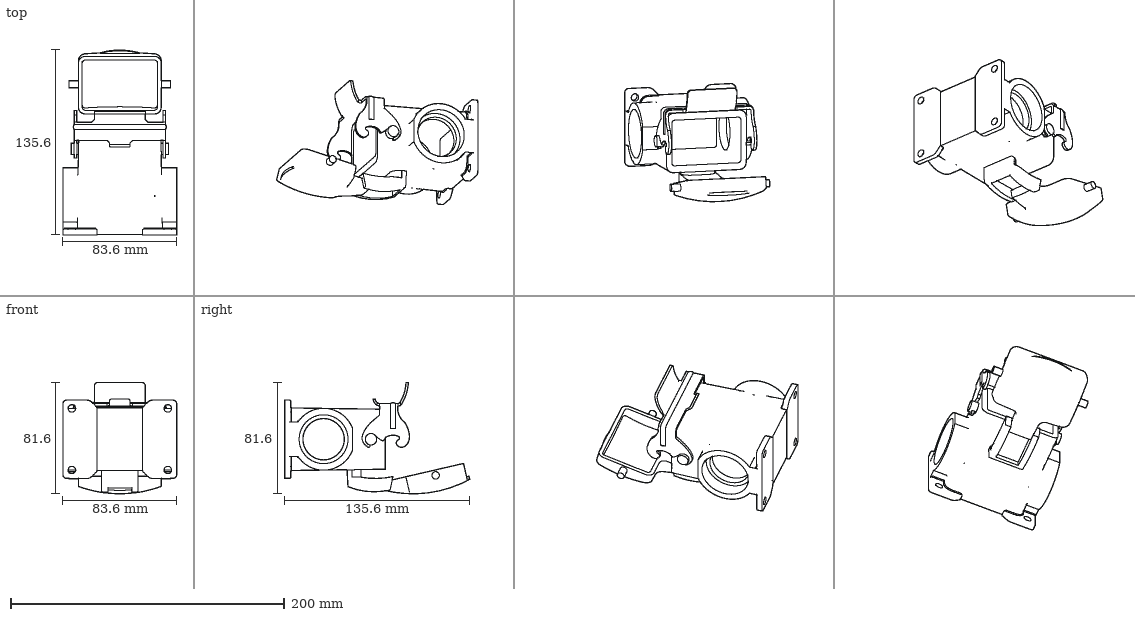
import cadquery as cq
import math


PLATE_OUTER_X = 41.8
PLATE_INNER_X = 16.5
PLATE_HALF_HEIGHT = 28.7
PLATE_THICKNESS = 4.5
PLATE_CORNER_RADIUS = 3.0
PLATE_NECK_DROP = 5.4
PLATE_NECK_RADIUS = 5.4
PLATE_EDGE_RADIUS = 1.1
SCREW_HOLE_RADIUS = 2.7
SCREW_HOLE_X = 35.1
SCREW_HOLE_Z = 22.5

SHELL_FRONT_Y = 0.5
SHELL_STRAIGHT_Y = 68.5
SHELL_BACK_Y = 73.6
CORNER_CENTRE_X = 25.1
CORNER_CENTRE_Z = 17.0
CORNER_RADIUS_FRONT = 6.1
CORNER_RADIUS_BACK = 5.2
CAVITY_HALF_WIDTH = 26.2
CAVITY_FRONT_Y = 6.8
CAVITY_CORNER_RADIUS = 2.0

ENTRY_Y = 28.5
ENTRY_RADIUS = 22.6
ENTRY_FLAT_Y = 49.5
ENTRY_WEB_HALF_HEIGHT = 12.6
ENTRY_BORE_RADIUS = 15.0
ENTRY_THREAD_RADIUS = 17.9
ENTRY_SHOULDER_X = 31.7
ENTRY_ROOT_RADIUS = 0.8

FOOT_BEVEL = 0.7

PEG_Y = 63.2
PEG_RADIUS = 4.2
PEG_END_X = 35.7

BRACKET_HALF_WIDTH = 13.4
BRACKET_EDGE_RADIUS = 0.7
BRACKET_TOE_Y = 46.2
BRACKET_TOE_Z = -34.7
POST_HALF_WIDTH = 12.6
POST_FRONT_Y = 49.4
POST_DEPTH = 6.6
TONGUE_HALF_WIDTH = 8.8
POCKET_FRONT_Y = 49.1
POCKET_DEPTH_Z = 40.7

RIM_TILT = 13.0
RIM_END_Y = 131.0
RIM_END_Z = -17.6
COVER_LENGTH = 43.4
COVER_HALF_WIDTH = 30.4
COVER_CORNER_RADIUS = 5.2
COVER_WALL = 2.8
COVER_POCKET_CORNER_RADIUS = 2.3
COVER_DEPTH = 15.7
COVER_DOME_RADIUS = 86.8
COVER_FLOOR_THICKNESS = 2.0
COVER_EDGE_RADIUS = 0.5
TONGUE_END = 61.0
TONGUE_ROOT_RADIUS = 4.9
LIP_HALF_WIDTH = 14.2
LIP_REACH = 1.9
LIP_TOP_DEPTH = 10.0
COVER_PIN_Y = 110.5
COVER_PIN_Z = -26.5
COVER_PIN_RADIUS = 2.7
COVER_PIN_END_X = 37.3

SHEET = 2.0
LEVER_OUTER_X = 33.5
LEVER_TOP_Z = 26.2
LEVER_FRONT_Y = 69.4
LEVER_BACK_Y = 82.9
LEVER_BEND_RADIUS = 3.4
BEAD_HEIGHT = 0.61
BEAD_FRONT_Y = 77.3
BEAD_WIDTH = 4.0
BEAD_END_Z = 8.0
HANDLE_HALF_WIDTH = 18.7
HANDLE_TOP_Z = 41.6
HANDLE_TIP_Y = 90.6
HANDLE_CORNER_RADIUS = 2.7
TAB_HALF_WIDTH = 7.6
TAB_TOP_Z = 29.4
TAB_TIP_Y = 64.7
TAB_CORNER_RADIUS = 1.6
ROOT_FLARE = 1.8

SIDES = (-1, 1)


def bar_along_x(y, z, radius, start_x, end_x):
    """Round bar whose axis is parallel to X."""
    return cq.Workplane("YZ", origin=(start_x, y, z)).circle(radius).extrude(end_x - start_x)


def box_between(x_range, y_range, z_range):
    """Box given by its lower and upper limit along each axis."""
    sizes = [high - low for low, high in (x_range, y_range, z_range)]
    corner = (x_range[0], y_range[0], z_range[0])
    return cq.Workplane("XY").box(*sizes, centered=False).translate(corner)


def side_profile(half_width):
    """Workplane for a Y-Z outline that is to be extruded over 2 * half_width, centred on X = 0."""
    return cq.Workplane("YZ", origin=(-half_width, 0, 0))


def rounded_section(corner_radius):
    """Shell cross-section; its corner centres stay put while the radius changes."""
    return (
        cq.Sketch()
        .rect(2 * (CORNER_CENTRE_X + corner_radius), 2 * (CORNER_CENTRE_Z + corner_radius))
        .vertices()
        .fillet(corner_radius)
    )


def make_shell():
    drafted_length = SHELL_STRAIGHT_Y - SHELL_FRONT_Y
    front = rounded_section(CORNER_RADIUS_FRONT)
    back = rounded_section(CORNER_RADIUS_BACK)
    back_offset = cq.Location(cq.Vector(0, 0, -drafted_length))
    drafted = (
        cq.Workplane("XZ", origin=(0, SHELL_FRONT_Y, 0))
        .placeSketch(front, back.moved(back_offset))
        .loft()
    )
    straight = (
        cq.Workplane("XZ", origin=(0, SHELL_STRAIGHT_Y, 0))
        .placeSketch(back)
        .extrude(SHELL_STRAIGHT_Y - SHELL_BACK_Y)
    )
    return drafted.union(straight)


def make_plate(side):
    """Mounting plate whose inner end narrows at 45 degrees to the height of the shell."""
    neck_z = PLATE_HALF_HEIGHT - PLATE_NECK_DROP
    neck_x = PLATE_INNER_X + PLATE_NECK_DROP
    corners = [
        (PLATE_OUTER_X, PLATE_HALF_HEIGHT),
        (neck_x, PLATE_HALF_HEIGHT),
        (PLATE_INNER_X, neck_z),
        (PLATE_INNER_X, -neck_z),
        (neck_x, -PLATE_HALF_HEIGHT),
        (PLATE_OUTER_X, -PLATE_HALF_HEIGHT),
    ]
    plate = cq.Workplane("XZ").polyline(corners).close().extrude(-PLATE_THICKNESS)
    middle_y = PLATE_THICKNESS / 2
    for z in (-PLATE_HALF_HEIGHT, PLATE_HALF_HEIGHT):
        outer_edge = cq.selectors.NearestToPointSelector((PLATE_OUTER_X, middle_y, z))
        plate = plate.edges(outer_edge).fillet(PLATE_CORNER_RADIUS)
        neck_edge = cq.selectors.NearestToPointSelector((neck_x, middle_y, z))
        plate = plate.edges(neck_edge).fillet(PLATE_NECK_RADIUS)
    plate = plate.faces(">Y").edges().fillet(PLATE_EDGE_RADIUS)
    screw_holes = (
        cq.Workplane("XZ")
        .pushPoints([(SCREW_HOLE_X, SCREW_HOLE_Z), (SCREW_HOLE_X, -SCREW_HOLE_Z)])
        .circle(SCREW_HOLE_RADIUS)
        .extrude(-PLATE_THICKNESS)
    )
    plate = plate.cut(screw_holes)
    return plate if side > 0 else plate.mirror("YZ")


def make_entry(side):
    """Round cable entry with a flat towards the back and a web down to the plate."""
    root_x = side * CORNER_CENTRE_X
    face_x = side * PLATE_OUTER_X
    x_range = sorted((root_x, face_x))
    boss = bar_along_x(ENTRY_Y, 0, ENTRY_RADIUS, root_x, face_x)
    kept = box_between(x_range, (0, ENTRY_FLAT_Y), (-ENTRY_RADIUS, ENTRY_RADIUS))
    web = box_between(x_range, (0, ENTRY_Y), (-ENTRY_WEB_HALF_HEIGHT, ENTRY_WEB_HALF_HEIGHT))
    return boss.intersect(kept).union(web)


def make_bracket():
    """Hook-shaped bracket below the shell with a post behind its front wall."""
    shell_z = -CORNER_CENTRE_Z - CORNER_RADIUS_BACK
    ledge_z = -27.8
    hook = (
        side_profile(BRACKET_HALF_WIDTH)
        .moveTo(45.5, shell_z)
        .lineTo(BRACKET_TOE_Y, BRACKET_TOE_Z)
        .threePointArc((63.7, -38.5), (77.2, -37.2))
        .lineTo(79.3, -27.3)
        .threePointArc((67.8, -28.6), (56.3, ledge_z))
        .lineTo(POST_FRONT_Y, ledge_z)
        .lineTo(POST_FRONT_Y, shell_z)
        .close()
        .extrude(2 * BRACKET_HALF_WIDTH)
    )
    front_corner = cq.selectors.NearestToPointSelector((0, BRACKET_TOE_Y, BRACKET_TOE_Z))
    side_edges = hook.faces("<Y or <Z").edges("not |X")
    hook = side_edges.add(hook.edges(front_corner)).fillet(BRACKET_EDGE_RADIUS)
    post = box_between(
        (-POST_HALF_WIDTH, POST_HALF_WIDTH),
        (POST_FRONT_Y, POST_FRONT_Y + POST_DEPTH),
        (ledge_z - SHEET / 2, shell_z),
    )
    post = post.edges("|Z and >Y").fillet(POST_DEPTH - 0.1)
    pocket = (
        side_profile(TONGUE_HALF_WIDTH)
        .moveTo(POCKET_FRONT_Y, -30.6)
        .lineTo(81.4, -29.4)
        .lineTo(81.4, -POCKET_DEPTH_Z)
        .lineTo(POCKET_FRONT_Y, -POCKET_DEPTH_Z)
        .close()
        .extrude(2 * TONGUE_HALF_WIDTH)
    )
    return hook.union(post).cut(pocket)


def round_entry_roots(housing, side):
    """Round the concave seams where one entry, with its flat and web, leaves the shell wall."""
    wall_x = side * (CORNER_CENTRE_X + CORNER_RADIUS_FRONT)
    web_middle_y = 6.8
    arc_middle = (11.5, 14.9)
    seam_points = [(wall_x, ENTRY_FLAT_Y, 0)]
    for half in SIDES:
        seam_points.append((wall_x, web_middle_y, half * ENTRY_WEB_HALF_HEIGHT))
        seam_points.append((wall_x, arc_middle[0], half * arc_middle[1]))
    seams = []
    for point in seam_points:
        seams += housing.edges(cq.selectors.NearestToPointSelector(point)).vals()
    return housing.newObject(seams).fillet(ENTRY_ROOT_RADIUS)


def make_shell_foot(side):
    """Bevelled collar around the shell on one plate."""
    wide = rounded_section(CORNER_RADIUS_FRONT + FOOT_BEVEL)
    narrow = rounded_section(CORNER_RADIUS_FRONT)
    collar = (
        cq.Workplane("XZ", origin=(0, PLATE_THICKNESS, 0))
        .placeSketch(wide, narrow.moved(cq.Location(cq.Vector(0, 0, -FOOT_BEVEL))))
        .loft()
    )
    plate_x = sorted((side * (PLATE_INNER_X + PLATE_EDGE_RADIUS), side * PLATE_OUTER_X))
    on_plate = box_between(
        plate_x,
        (PLATE_THICKNESS, PLATE_THICKNESS + FOOT_BEVEL),
        (-PLATE_HALF_HEIGHT, PLATE_HALF_HEIGHT),
    )
    return collar.intersect(on_plate)


def make_web_foot(side):
    """Bevel along both faces of one entry web on its plate."""
    wide = ENTRY_WEB_HALF_HEIGHT + FOOT_BEVEL
    top_y = PLATE_THICKNESS + FOOT_BEVEL
    end_x = PLATE_OUTER_X - PLATE_EDGE_RADIUS
    foot = (
        cq.Workplane("YZ", origin=(CORNER_CENTRE_X, 0, 0))
        .moveTo(PLATE_THICKNESS, -wide)
        .lineTo(PLATE_THICKNESS, wide)
        .lineTo(top_y, ENTRY_WEB_HALF_HEIGHT)
        .lineTo(top_y, -ENTRY_WEB_HALF_HEIGHT)
        .close()
        .extrude(end_x - CORNER_CENTRE_X)
    )
    return foot if side > 0 else foot.mirror("YZ")


def make_housing():
    housing = make_shell().union(make_bracket())
    for side in SIDES:
        housing = housing.union(make_entry(side))
        housing = round_entry_roots(housing, side)
        housing = housing.union(make_plate(side))
        housing = housing.union(make_shell_foot(side)).union(make_web_foot(side))
        housing = housing.union(bar_along_x(PEG_Y, 0, PEG_RADIUS, side * CORNER_CENTRE_X, side * PEG_END_X))
    cavity = box_between(
        (-CAVITY_HALF_WIDTH, CAVITY_HALF_WIDTH),
        (CAVITY_FRONT_Y, SHELL_BACK_Y),
        (-CORNER_CENTRE_Z, CORNER_CENTRE_Z),
    )
    housing = housing.cut(cavity.edges("|Y").fillet(CAVITY_CORNER_RADIUS))
    housing = housing.cut(bar_along_x(ENTRY_Y, 0, ENTRY_BORE_RADIUS, -PLATE_OUTER_X, PLATE_OUTER_X))
    for side in SIDES:
        thread = bar_along_x(
            ENTRY_Y, 0, ENTRY_THREAD_RADIUS, side * ENTRY_SHOULDER_X, side * PLATE_OUTER_X
        )
        housing = housing.cut(thread)
    return housing


def dome_ball(thickness):
    """Ball whose lowest stretch is the underside of the cover, less a floor thickness."""
    centre = (0, -COVER_LENGTH / 2, COVER_DOME_RADIUS - COVER_DEPTH)
    return cq.Workplane("XY").sphere(COVER_DOME_RADIUS - thickness).translate(centre)


def make_tongue():
    """Hinge tongue with concave rounded roots at the near wall."""
    root_x = TONGUE_HALF_WIDTH + TONGUE_ROOT_RADIUS
    root_y = -COVER_LENGTH - TONGUE_ROOT_RADIUS
    mid = TONGUE_ROOT_RADIUS * (1 - math.sqrt(0.5))
    inside_y = -COVER_LENGTH + COVER_WALL / 2
    return (
        cq.Workplane("XY")
        .moveTo(root_x, inside_y)
        .lineTo(root_x, -COVER_LENGTH)
        .threePointArc((TONGUE_HALF_WIDTH + mid, -COVER_LENGTH - mid), (TONGUE_HALF_WIDTH, root_y))
        .lineTo(TONGUE_HALF_WIDTH, -TONGUE_END)
        .lineTo(-TONGUE_HALF_WIDTH, -TONGUE_END)
        .lineTo(-TONGUE_HALF_WIDTH, root_y)
        .threePointArc((-TONGUE_HALF_WIDTH - mid, -COVER_LENGTH - mid), (-root_x, -COVER_LENGTH))
        .lineTo(-root_x, inside_y)
        .close()
        .extrude(-COVER_DEPTH)
    )


def make_cover():
    outline = (
        cq.Workplane("XY")
        .center(0, -COVER_LENGTH / 2)
        .rect(2 * COVER_HALF_WIDTH, COVER_LENGTH)
        .extrude(-COVER_DEPTH)
        .edges("|Z")
        .fillet(COVER_CORNER_RADIUS)
    )
    lip = (
        cq.Workplane("XY", origin=(0, 0, -LIP_TOP_DEPTH))
        .moveTo(-LIP_HALF_WIDTH, -COVER_WALL / 2)
        .lineTo(-LIP_HALF_WIDTH, 0)
        .threePointArc((0, LIP_REACH), (LIP_HALF_WIDTH, 0))
        .lineTo(LIP_HALF_WIDTH, -COVER_WALL / 2)
        .close()
        .extrude(LIP_TOP_DEPTH - COVER_DEPTH)
    )
    pocket = (
        cq.Workplane("XY")
        .center(0, -COVER_LENGTH / 2)
        .rect(2 * (COVER_HALF_WIDTH - COVER_WALL), COVER_LENGTH - 2 * COVER_WALL)
        .extrude(-COVER_DEPTH)
        .edges("|Z")
        .fillet(COVER_POCKET_CORNER_RADIUS)
        .intersect(dome_ball(COVER_FLOOR_THICKNESS))
    )
    cover = outline.union(lip).union(make_tongue()).intersect(dome_ball(0))
    for side in SIDES:
        skirt_middle = (side * COVER_HALF_WIDTH, -COVER_LENGTH / 2, -LIP_TOP_DEPTH)
        skirt_edge = cq.selectors.NearestToPointSelector(skirt_middle)
        cover = cover.edges(skirt_edge).fillet(COVER_EDGE_RADIUS)
    cover = cover.cut(pocket)
    cover = cover.rotate((0, 0, 0), (1, 0, 0), RIM_TILT).translate((0, RIM_END_Y, RIM_END_Z))
    for side in SIDES:
        inner_x = side * (COVER_HALF_WIDTH - COVER_WALL / 2)
        pin = bar_along_x(COVER_PIN_Y, COVER_PIN_Z, COVER_PIN_RADIUS, inner_x, side * COVER_PIN_END_X)
        cover = cover.union(pin)
    return cover


def bent_channel(y_range, bottom_z):
    """Inverted U of sheet over a stretch of Y."""
    inner_x = LEVER_OUTER_X - SHEET
    outer = box_between((-LEVER_OUTER_X, LEVER_OUTER_X), y_range, (bottom_z, LEVER_TOP_Z))
    outer = outer.edges("|Y and >Z").fillet(LEVER_BEND_RADIUS)
    inner = box_between((-inner_x, inner_x), y_range, (bottom_z, LEVER_TOP_Z - SHEET))
    inner = inner.edges("|Y and >Z").fillet(LEVER_BEND_RADIUS - SHEET)
    return outer.cut(inner)


def cheek_outline():
    """Solid across the whole lever with the outline of its two cheeks."""
    lip = PEG_RADIUS * math.sqrt(0.5)
    return (
        side_profile(LEVER_OUTER_X)
        .moveTo(LEVER_BACK_Y, LEVER_TOP_Z)
        .lineTo(LEVER_FRONT_Y, LEVER_TOP_Z)
        .lineTo(LEVER_FRONT_Y, 17.6)
        .spline([(62.9, 12.1), (59.1, 7.5), (56.5, 1.1)], includeCurrent=True)
        .spline([(57.5, -2.3), (60.3, -5.3)], includeCurrent=True)
        .threePointArc((62.1, -5.7), (62.5, -PEG_RADIUS))
        .threePointArc((PEG_Y - PEG_RADIUS, 0), (PEG_Y + lip, lip))
        .threePointArc((69.2, 0.3), (72.0, -1.4))
        .lineTo(73.9, 1.2)
        .threePointArc((79.0, 2.8), (83.3, 2.0))
        .threePointArc((84.0, 0.5), (83.0, -0.5))
        .threePointArc((81.6, -2.7), (83.0, -5.0))
        .spline([(86.0, -6.0), (89.8, -3.5), (91.4, 1.4), (90.3, 7.6), (88.1, 12.1)], includeCurrent=True)
        .spline([(84.3, 16.4), (LEVER_BACK_Y, 20.9)], includeCurrent=True)
        .close()
        .extrude(2 * LEVER_OUTER_X)
    )


def make_bead():
    """Stiffening bead of segment section over the strap and partway down both cheeks."""
    bend_x = LEVER_OUTER_X - LEVER_BEND_RADIUS
    bend_z = LEVER_TOP_Z - LEVER_BEND_RADIUS
    bend = LEVER_BEND_RADIUS * math.sqrt(0.5)
    middle_y = BEAD_FRONT_Y + BEAD_WIDTH / 2
    back_y = BEAD_FRONT_Y + BEAD_WIDTH
    path = (
        cq.Workplane("XZ", origin=(0, middle_y, 0))
        .moveTo(-LEVER_OUTER_X, BEAD_END_Z)
        .lineTo(-LEVER_OUTER_X, bend_z)
        .threePointArc((-bend_x - bend, bend_z + bend), (-bend_x, LEVER_TOP_Z))
        .lineTo(bend_x, LEVER_TOP_Z)
        .threePointArc((bend_x + bend, bend_z + bend), (LEVER_OUTER_X, bend_z))
        .lineTo(LEVER_OUTER_X, BEAD_END_Z)
    )
    root_x = SHEET / 2 - LEVER_OUTER_X
    return (
        cq.Workplane("XY", origin=(0, 0, BEAD_END_Z))
        .moveTo(root_x, BEAD_FRONT_Y)
        .lineTo(-LEVER_OUTER_X, BEAD_FRONT_Y)
        .threePointArc((-LEVER_OUTER_X - BEAD_HEIGHT, middle_y), (-LEVER_OUTER_X, back_y))
        .lineTo(root_x, back_y)
        .close()
        .sweep(path)
    )


def flared_plan(half_width, root_y, tip_y):
    """Plan of a sheet tongue that widens at 45 degrees where it leaves the strap."""
    direction = math.copysign(1, tip_y - root_y)
    flare_y = root_y + direction * ROOT_FLARE
    right_half = [
        (half_width + ROOT_FLARE, root_y),
        (half_width, flare_y),
        (half_width, tip_y),
    ]
    left_half = [(-x, y) for x, y in reversed(right_half)]
    return cq.Workplane("XY").polyline(right_half + left_half).close().extrude(HANDLE_TOP_Z)


def make_handle():
    root_z = LEVER_TOP_Z - SHEET
    handle = (
        side_profile(HANDLE_HALF_WIDTH + ROOT_FLARE)
        .moveTo(LEVER_BACK_Y, root_z)
        .threePointArc((84.6, 24.7), (85.8, 26.0))
        .threePointArc((89.4, 33.9), (HANDLE_TIP_Y, HANDLE_TOP_Z))
        .lineTo(88.7, HANDLE_TOP_Z)
        .threePointArc((87.5, 33.9), (84.2, 26.8))
        .threePointArc((83.7, 26.5), (LEVER_BACK_Y, LEVER_TOP_Z))
        .close()
        .extrude(2 * (HANDLE_HALF_WIDTH + ROOT_FLARE))
    )
    handle = handle.intersect(flared_plan(HANDLE_HALF_WIDTH, LEVER_BACK_Y, HANDLE_TIP_Y))
    return handle.faces(">Z").edges("|Y").fillet(HANDLE_CORNER_RADIUS)


def make_tab():
    root_z = LEVER_TOP_Z - SHEET
    tab = (
        side_profile(TAB_HALF_WIDTH + ROOT_FLARE)
        .moveTo(LEVER_FRONT_Y, root_z)
        .threePointArc((66.2, 26.0), (TAB_TIP_Y, TAB_TOP_Z))
        .lineTo(66.3, TAB_TOP_Z)
        .threePointArc((67.4, 27.1), (LEVER_FRONT_Y, LEVER_TOP_Z))
        .close()
        .extrude(2 * (TAB_HALF_WIDTH + ROOT_FLARE))
    )
    tab = tab.intersect(flared_plan(TAB_HALF_WIDTH, LEVER_FRONT_Y, TAB_TIP_Y))
    return tab.faces(">Z").edges("|Y").fillet(TAB_CORNER_RADIUS)


def make_lever():
    peg_bore = bar_along_x(PEG_Y, 0, PEG_RADIUS, -LEVER_OUTER_X, LEVER_OUTER_X)
    outline = cheek_outline().cut(peg_bore)
    channel = bent_channel((TAB_TIP_Y - 13.5, HANDLE_TIP_Y + 13.5), -TAB_TOP_Z)
    lever = channel.intersect(outline)
    return lever.union(make_bead()).union(make_handle()).union(make_tab())


housing = make_housing()
cover = make_cover()
lever = make_lever()

result = cq.Compound.makeCompound([housing.val(), cover.val(), lever.val()])